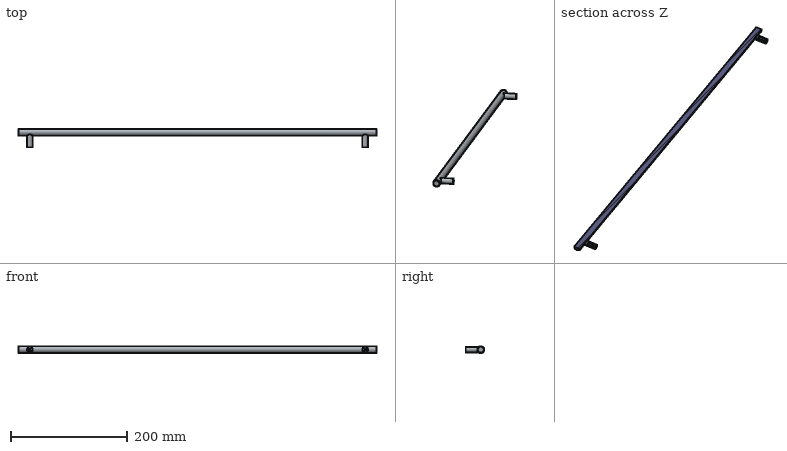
import cadquery as cq

bar_length = 616.0
bar_diameter = 12.0
bar_radius = bar_diameter / 2
bar_end_chamfer = 1.0

post_spacing = 576.0
post_diameter = 10.0
overall_depth = 32.0
post_reach = overall_depth - bar_radius

screw_hole_diameter = 3.3
screw_hole_depth = 15.0


def make_bar():
    """Round bar with chamfered ends."""
    return (
        cq.Workplane("YZ", origin=(-bar_length / 2, 0, 0))
        .circle(bar_radius)
        .extrude(bar_length)
        .faces("<X or >X")
        .chamfer(bar_end_chamfer)
    )


def make_post(x, bar):
    """Round post at x, saddle-cut to seat on the bar, with a screw hole in its foot."""
    post = (
        cq.Workplane("XZ")
        .center(x, 0)
        .circle(post_diameter / 2)
        .extrude(post_reach)
    )
    drilled_post = post.faces("<Y").workplane().hole(screw_hole_diameter, screw_hole_depth)
    return drilled_post.cut(bar).solids()


bar = make_bar()
posts = [make_post(side * post_spacing / 2, bar).val() for side in (-1, 1)]

result = cq.Compound.makeCompound([bar.val(), *posts])